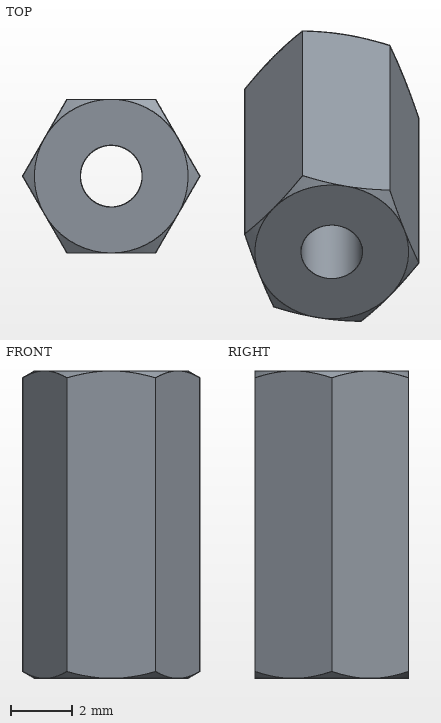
import cadquery as cq
import math

length = 10.0
across_flats = 5.0
bore_diameter = 2.0
chamfer_angle = 30.0

across_corners = across_flats / math.cos(math.radians(30))
flat_radius = across_flats / 2
corner_radius = across_corners / 2
chamfer_height = (corner_radius - flat_radius) * math.tan(math.radians(chamfer_angle))

hex_bar = cq.Workplane("XY").polygon(6, across_corners).extrude(length)

envelope = (
    cq.Workplane("XZ")
    .moveTo(0, 0)
    .lineTo(flat_radius, 0)
    .lineTo(corner_radius, chamfer_height)
    .lineTo(corner_radius, length - chamfer_height)
    .lineTo(flat_radius, length)
    .lineTo(0, length)
    .close()
    .revolve(360, (0, 0, 0), (0, 1, 0))
)

bore = cq.Workplane("XY").circle(bore_diameter / 2).extrude(length)

result = hex_bar.intersect(envelope).cut(bore)